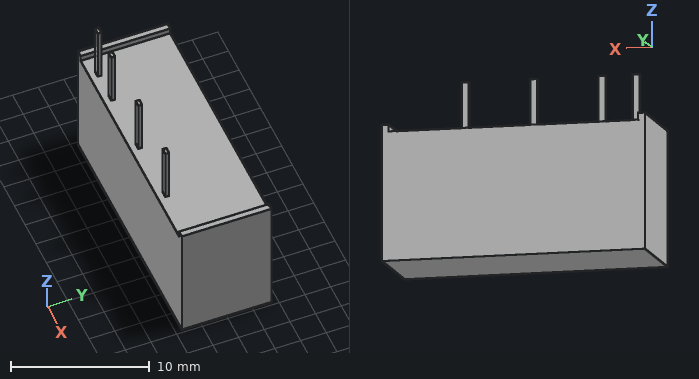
import cadquery as cq

case_length = 19.5
case_width = 7.0
case_height = 10.0

rim_thickness = 0.5
rim_height = 0.5
top_face_z = case_height - rim_height

pin_tip_z = 14.1
pin_width = 0.5
pin_thickness = 0.3
pin_pitch = 2.54
pin_positions = [-3, -2, 0, 2]
pin_inset = 0.7
pin_y = pin_inset - case_width / 2


def make_case():
    """Solid block with its top lowered between the two end rims."""
    block = cq.Workplane("XY").box(
        case_length, case_width, case_height, centered=(True, True, False)
    )
    recess_length = case_length - 2 * rim_thickness
    recess = (
        cq.Workplane("XY", origin=(0, 0, top_face_z))
        .rect(recess_length, case_width)
        .extrude(rim_height)
    )
    return block.cut(recess)


def make_pins():
    """Row of rectangular pins rising from the recessed top face."""
    return (
        cq.Workplane("XY", origin=(0, pin_y, top_face_z))
        .pushPoints([(position * pin_pitch, 0) for position in pin_positions])
        .rect(pin_width, pin_thickness)
        .extrude(pin_tip_z - top_face_z)
    )


result = make_case().union(make_pins())